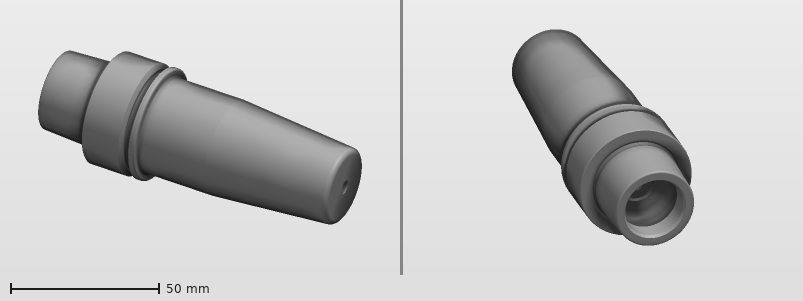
import cadquery as cq
import math


LENGTH = 109.9
FLANGE_RADIUS = 20.0
FLANGE_START = 19.9
FLANGE_LENGTH = 20.0
FLANGE_END = FLANGE_START + FLANGE_LENGTH
FLANGE_CHAMFER = 0.3
RIM_ROUND = 0.8

SHANK_RADIUS = 15.0
SHANK_END = 17.9
SHANK_SLOPE = 0.05
SHANK_ROUND = 0.7

RELIEF_RADIUS = 14.7
RELIEF_START = 18.6
RELIEF_END = 18.9
RELIEF_STEP_END = 19.2
RELIEF_STEP_RADIUS = 14.8
RECESS_DEPTH = 0.16
RECESS_FLOOR_RADIUS = 15.3
RECESS_FACE_RADIUS = 15.9

GROOVE_CENTER = 35.8
GROOVE_HALF_WIDTH = 2.0
GROOVE_FLANK_ANGLE = math.radians(60)
SLOT_HALF_WIDTH = 1.0
SLOT_CORNER_RADIUS = 0.7

BODY_RADIUS = 17.0
BODY_FILLET = 0.9
NOSE_START = 65.4
NOSE_ANGLE = math.radians(4.5)
NOSE_ROUND = 2.0

BORE_RADIUS = 10.3
BORE_CHAMFER_RADIUS = 0.7
BORE_CHAMFER_DEPTH = 0.9
BORE_END = 7.4
CAVITY_RADIUS = 12.7
CAVITY_FLOOR = 18.1
CAVITY_FILLET = 2.9

INSERT_RADIUS = 5.4
INSERT_LENGTH = 11.0
SEAT_CHAMFER = 0.7
AXIAL_HOLE_RADIUS = 2.4


def shank_radius(x):
    return SHANK_RADIUS - SHANK_SLOPE * (SHANK_END - x)


def revolve_profile(profile):
    """Full turn about the X axis of a closed (axial, radial) profile."""
    return profile.close().revolve(360, (0, 0, 0), (1, 0, 0))


def outer_blank():
    """Solid of the whole outside shape, without the gripper groove and end rounds."""
    nose_end_radius = BODY_RADIUS - (LENGTH - NOSE_START) * math.tan(NOSE_ANGLE)
    profile = (
        cq.Workplane("XZ")
        .moveTo(0, 0)
        .lineTo(0, shank_radius(0))
        .lineTo(SHANK_END, SHANK_RADIUS)
        .lineTo(RELIEF_START, RELIEF_RADIUS)
        .lineTo(RELIEF_END, RELIEF_RADIUS)
        .lineTo(RELIEF_STEP_END, RELIEF_STEP_RADIUS)
        .lineTo(FLANGE_START + RECESS_DEPTH, RECESS_FLOOR_RADIUS)
        .lineTo(FLANGE_START, RECESS_FACE_RADIUS)
        .lineTo(FLANGE_START, FLANGE_RADIUS - FLANGE_CHAMFER)
        .lineTo(FLANGE_START + FLANGE_CHAMFER, FLANGE_RADIUS)
        .lineTo(FLANGE_END - RIM_ROUND, FLANGE_RADIUS)
        .tangentArcPoint((FLANGE_END, FLANGE_RADIUS - RIM_ROUND), relative=False)
        .lineTo(FLANGE_END, BODY_RADIUS + BODY_FILLET)
        .tangentArcPoint((FLANGE_END + BODY_FILLET, BODY_RADIUS), relative=False)
        .lineTo(NOSE_START, BODY_RADIUS)
        .lineTo(LENGTH, nose_end_radius)
        .lineTo(LENGTH, 0)
    )
    blank = revolve_profile(profile)
    blank = blank.faces("<X").edges().fillet(SHANK_ROUND)
    return blank.faces(">X").edges().fillet(NOSE_ROUND)


def gripper_groove():
    """V-shaped ring that ends in a narrow slot with rounded floor corners."""
    flank_depth = (GROOVE_HALF_WIDTH - SLOT_HALF_WIDTH) * math.tan(GROOVE_FLANK_ANGLE)
    slot_top = FLANGE_RADIUS - flank_depth
    corner_top = BODY_RADIUS + SLOT_CORNER_RADIUS
    slot_start = GROOVE_CENTER - SLOT_HALF_WIDTH
    slot_end = GROOVE_CENTER + SLOT_HALF_WIDTH
    profile = (
        cq.Workplane("XZ")
        .moveTo(GROOVE_CENTER - GROOVE_HALF_WIDTH, FLANGE_RADIUS)
        .lineTo(slot_start, slot_top)
        .lineTo(slot_start, corner_top)
        .tangentArcPoint((slot_start + SLOT_CORNER_RADIUS, BODY_RADIUS), relative=False)
        .lineTo(slot_end - SLOT_CORNER_RADIUS, BODY_RADIUS)
        .tangentArcPoint((slot_end, corner_top), relative=False)
        .lineTo(slot_end, slot_top)
        .lineTo(GROOVE_CENTER + GROOVE_HALF_WIDTH, FLANGE_RADIUS)
    )
    return revolve_profile(profile)


def shank_cavity():
    """Chamfered bore, undercut behind it, and a rounded cavity floor."""
    profile = (
        cq.Workplane("XZ")
        .moveTo(0, 0)
        .lineTo(0, BORE_RADIUS + BORE_CHAMFER_RADIUS)
        .lineTo(BORE_CHAMFER_DEPTH, BORE_RADIUS)
        .lineTo(BORE_END, BORE_RADIUS)
        .lineTo(BORE_END, CAVITY_RADIUS)
        .lineTo(CAVITY_FLOOR - CAVITY_FILLET, CAVITY_RADIUS)
        .tangentArcPoint((CAVITY_FLOOR, CAVITY_RADIUS - CAVITY_FILLET), relative=False)
        .lineTo(CAVITY_FLOOR, 0)
    )
    return revolve_profile(profile)


def insert_seat():
    """Chamfered pocket in the cavity floor that the insert fills below the chamfer."""
    seat_start = CAVITY_FLOOR + SEAT_CHAMFER
    profile = (
        cq.Workplane("XZ")
        .moveTo(CAVITY_FLOOR, 0)
        .lineTo(CAVITY_FLOOR, INSERT_RADIUS + SEAT_CHAMFER)
        .lineTo(seat_start, INSERT_RADIUS)
        .lineTo(seat_start + INSERT_LENGTH, INSERT_RADIUS)
        .lineTo(seat_start + INSERT_LENGTH, 0)
    )
    return revolve_profile(profile)


def make_holder():
    axial_hole = cq.Workplane("YZ").circle(AXIAL_HOLE_RADIUS).extrude(LENGTH)
    return (
        outer_blank()
        .cut(gripper_groove())
        .cut(shank_cavity())
        .cut(insert_seat())
        .cut(axial_hole)
    )


def make_insert():
    return (
        cq.Workplane("YZ", origin=(CAVITY_FLOOR + SEAT_CHAMFER, 0, 0))
        .circle(INSERT_RADIUS)
        .circle(AXIAL_HOLE_RADIUS)
        .extrude(INSERT_LENGTH)
    )


holder = make_holder()
insert = make_insert()

result = cq.Compound.makeCompound([holder.val(), insert.val()])